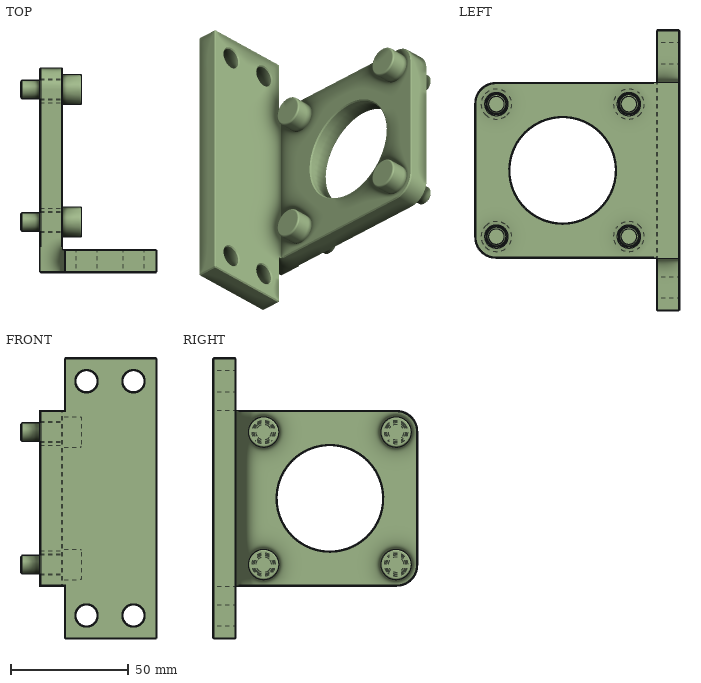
import cadquery as cq

foot_thickness = 10.0
edge_chamfer = 0.5

foot_length = 120
foot_width = 50.0
foot_setback = 10.5
foot_hole_diameter = 9.0
foot_hole_spacing_x = 20.0
foot_hole_spacing_z = 100.0
foot_hole_center_x = 30

upright_thickness = 9.8
upright_width = 75.0
upright_reach = 87.5
corner_radius = 9.0
root_height = 11.2
bore_diameter = 45.0
bore_y = upright_reach - upright_width / 2

screw_spacing = 56.5
screw_hole_diameter = 9.0
shank_diameter = 8.0
shank_projection = 8.2
shank_chamfer = 0.7
head_diameter = 13.0
head_height = 8.0
head_fillet = 0.7


def block(x_start, x_end, y_start, y_end, z_size):
    """Box between two X and two Y positions, centred on Z = 0."""
    outline = cq.Workplane("XY").moveTo(x_start, y_start).lineTo(x_end, y_start)
    outline = outline.lineTo(x_end, y_end).lineTo(x_start, y_end).close()
    return outline.extrude(z_size / 2, both=True)


def chamfered_hole_cutter(diameter, thickness):
    """Cutter for a hole through a plate, chamfered at both faces; runs along +Z from the origin."""
    bore_radius = diameter / 2
    mouth_radius = bore_radius + edge_chamfer
    return (
        cq.Workplane("XZ")
        .moveTo(0, 0)
        .lineTo(mouth_radius, 0)
        .lineTo(bore_radius, edge_chamfer)
        .lineTo(bore_radius, thickness - edge_chamfer)
        .lineTo(mouth_radius, thickness)
        .lineTo(0, thickness)
        .close()
        .revolve(360, (0, 0, 0), (0, 1, 0))
    )


def along_x(body):
    """Turn a body built along +Z so that it points along +X."""
    return body.rotate((0, 0, 0), (0, 1, 0), 90)


def along_y(body):
    """Turn a body built along +Z so that it points along +Y."""
    return body.rotate((0, 0, 0), (1, 0, 0), -90)


def make_foot():
    """Foot plate chamfered all round, with its middle carried out to the outer face."""
    plate = block(foot_setback, foot_width, 0, foot_thickness, foot_length).edges().chamfer(edge_chamfer)
    middle = (
        block(0, foot_width / 2, 0, foot_thickness, upright_width)
        .faces("<Y").edges("not >X").chamfer(edge_chamfer)
    )
    foot = plate.union(middle)

    cutter = along_y(chamfered_hole_cutter(foot_hole_diameter, foot_thickness))
    for x_side in (-0.5, 0.5):
        for z_side in (-0.5, 0.5):
            x = foot_hole_center_x + x_side * foot_hole_spacing_x
            z = z_side * foot_hole_spacing_z
            foot = foot.cut(cutter.translate((x, 0, z)))
    return foot


def make_upright():
    """Upright plate with rounded free corners, chamfered faces and a central bore."""
    plate = (
        block(0, upright_thickness, root_height, upright_reach, upright_width)
        .edges("|X and >Y").fillet(corner_radius)
        .faces("|X").edges("not <Y").chamfer(edge_chamfer)
    )
    root = block(0, upright_thickness, foot_thickness, root_height, upright_width)
    bore = along_x(chamfered_hole_cutter(bore_diameter, upright_thickness)).translate((0, bore_y, 0))
    return plate.union(root).cut(bore)


def make_screw():
    """Cap screw along X, its head seated on the inner face of the upright."""
    shank = (
        cq.Workplane("YZ", origin=(-shank_projection, 0, 0))
        .circle(shank_diameter / 2).extrude(shank_projection + upright_thickness)
        .faces("<X").chamfer(shank_chamfer)
    )
    head = (
        cq.Workplane("YZ", origin=(upright_thickness, 0, 0))
        .circle(head_diameter / 2).extrude(head_height)
        .faces(">X").edges().fillet(head_fillet)
    )
    return shank.union(head)


def add_screws(body):
    """Drill the screw holes and fit a screw in each."""
    hole = along_x(chamfered_hole_cutter(screw_hole_diameter, upright_thickness))
    screw = make_screw()
    for y_side in (-0.5, 0.5):
        for z_side in (-0.5, 0.5):
            position = (0, bore_y + y_side * screw_spacing, z_side * screw_spacing)
            body = body.cut(hole.translate(position)).union(screw.translate(position))
    return body


result = add_screws(make_foot().union(make_upright()))